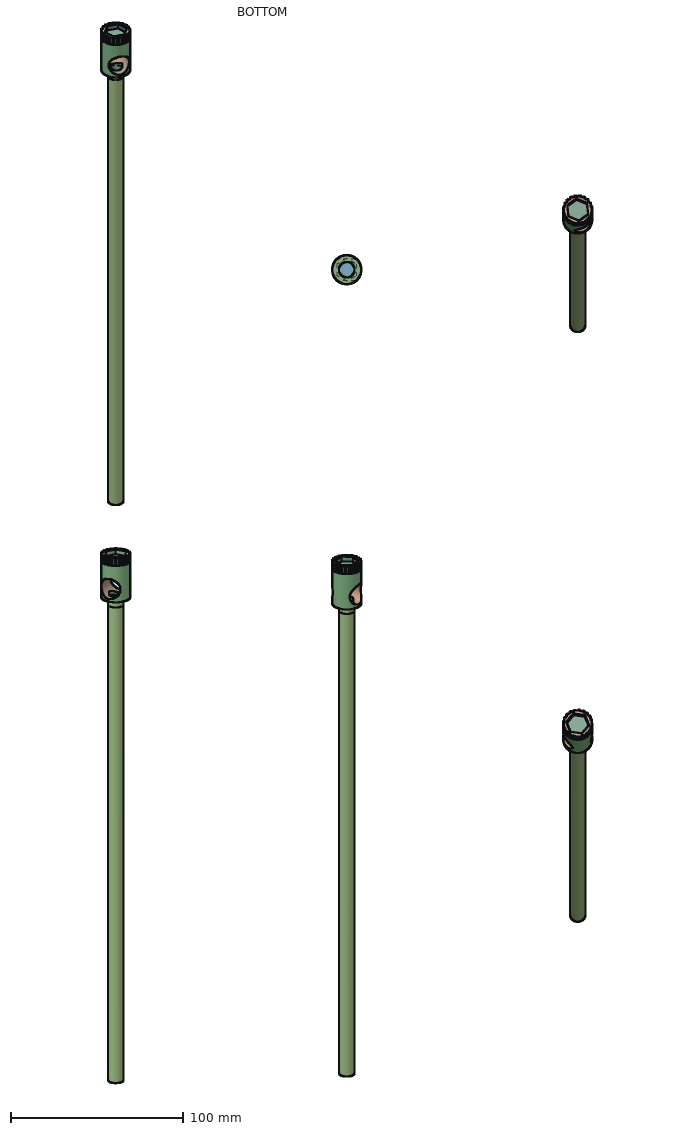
import cadquery as cq
import math

total_length = 327.5
head_diameter = 17.0
head_length = 27.2
rod_diameter = 9.2
tip_fillet = 0.5

bore_diameter = 8.0
bore_reach = 5.0

cross_hole_diameter = 12.5
cross_hole_drop = 19.3

hex_across_flats = 11.5
hex_depth = 3.0

flute_count = 20
flute_width = 1.5
flute_depth = 0.5
flute_length = 4.5

head_radius = head_diameter / 2
head_bottom = total_length - head_length
cross_hole_height = total_length - cross_hole_drop


def cylinder(diameter, bottom, top):
    return cq.Workplane("XY").workplane(offset=bottom).circle(diameter / 2).extrude(top - bottom)


def make_cross_hole():
    return (
        cq.Workplane("YZ")
        .center(0, cross_hole_height)
        .circle(cross_hole_diameter / 2)
        .extrude(head_radius * 2, both=True)
    )


def make_hex_recess():
    across_corners = hex_across_flats / math.cos(math.pi / 6)
    return (
        cq.Workplane("XY")
        .workplane(offset=total_length)
        .transformed(rotate=(0, 0, 90))
        .polygon(6, across_corners)
        .extrude(-hex_depth)
    )


def make_flutes():
    return (
        cq.Workplane("XY")
        .workplane(offset=total_length)
        .polarArray(head_radius, 0, 360, flute_count)
        .rect(2 * flute_depth, flute_width)
        .extrude(-flute_length)
    )


rod = cylinder(rod_diameter, 0, head_bottom).faces("<Z").fillet(tip_fillet)
head = cylinder(head_diameter, head_bottom, total_length)
head = head.cut(make_cross_hole()).cut(make_hex_recess()).cut(make_flutes())

bore = cylinder(bore_diameter, head_bottom - bore_reach, cross_hole_height)

result = rod.union(head).cut(bore)